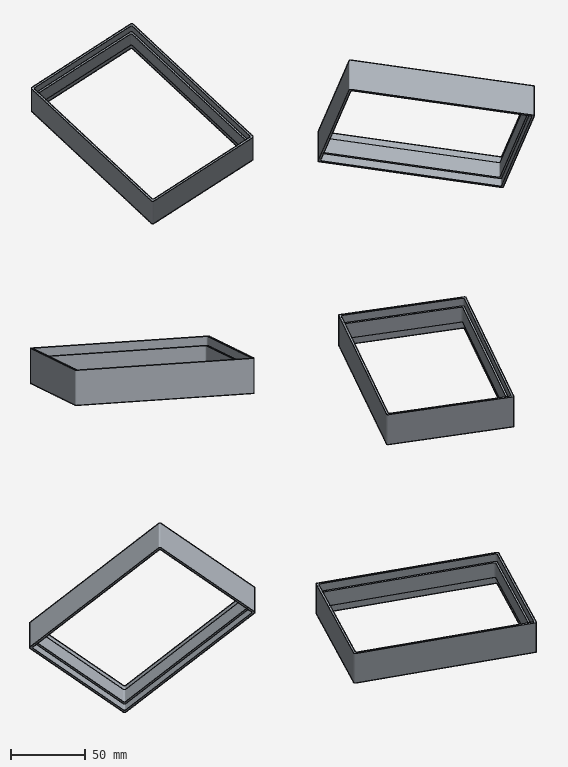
import cadquery as cq

length = 128.5
width = 88.5
height = 24.0
outer_radius = 1.0

wall = 3.0
rim_wall = 1.5
inner_radius = 1.0
rebate_depth = 6.0


def rounded_block(inset, radius, bottom, top):
    """Block set in from the outer sides, with rounded vertical edges."""
    return (
        cq.Workplane("XY")
        .workplane(offset=bottom)
        .rect(length - 2 * inset, width - 2 * inset)
        .extrude(top - bottom)
        .edges("|Z")
        .fillet(radius)
    )


body = rounded_block(0, outer_radius, 0, height)
opening = rounded_block(wall, inner_radius, 0, height)
top_rebate = rounded_block(rim_wall, inner_radius, height - rebate_depth, height)
bottom_rebate = rounded_block(rim_wall, inner_radius, 0, rebate_depth)

result = body.cut(opening).cut(top_rebate).cut(bottom_rebate)